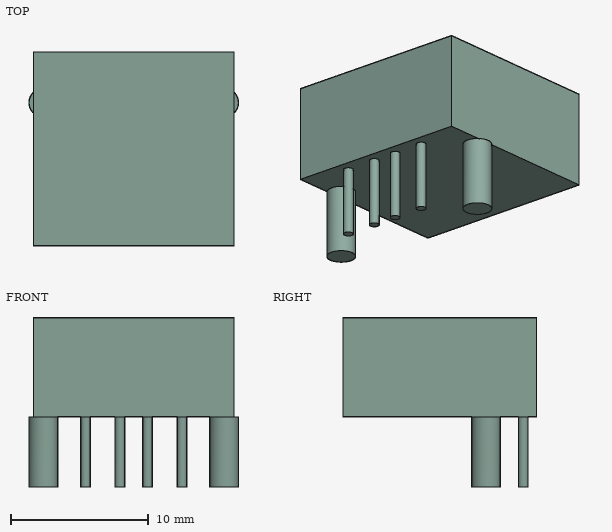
import cadquery as cq

overall_width = 15.24
overall_height = 12.31
housing_width = 14.6
housing_depth = 14.1
housing_height = 7.21
leg_length = overall_height - housing_height
rear_face_y = housing_depth / 2

post_diameter = 2.1
post_x = (overall_width - post_diameter) / 2
post_y = rear_face_y - 3.69

pin_diameter = 0.72
outer_pin_x = 3.5
inner_pin_x = 1.0
pin_y = rear_face_y - 0.98


def make_housing():
    """Plain rectangular block standing on Z = 0."""
    return cq.Workplane("XY").box(
        housing_width, housing_depth, housing_height, centered=(True, True, False)
    )


def make_leg(diameter, x, y):
    """Round leg hanging down from the housing underside."""
    return cq.Workplane("XY").center(x, y).circle(diameter / 2).extrude(-leg_length)


def make_post(x):
    return make_leg(post_diameter, x, post_y)


def make_pin(x):
    return make_leg(pin_diameter, x, pin_y)


housing = make_housing()
posts = [make_post(x) for x in (-post_x, post_x)]
pins = [make_pin(x) for x in (-outer_pin_x, -inner_pin_x, inner_pin_x, outer_pin_x)]

result = cq.Compound.makeCompound(
    [housing.val()] + [post.val() for post in posts] + [pin.val() for pin in pins]
)